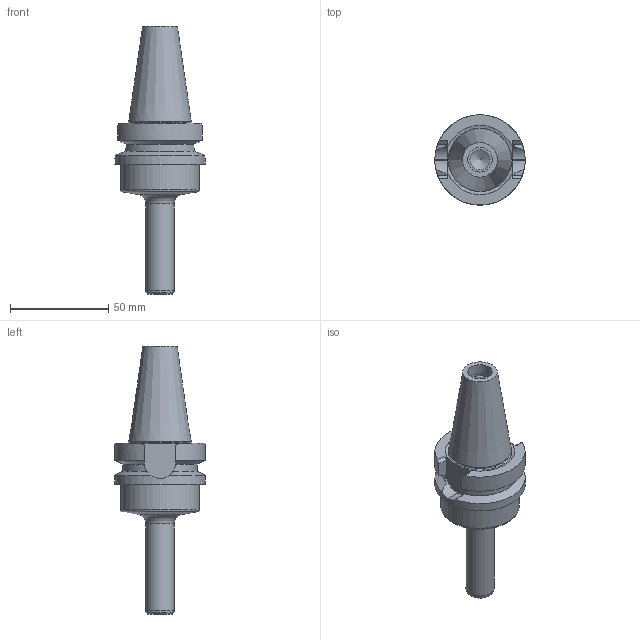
import cadquery as cq
import math

GAUGE_DIAMETER = 31.75
TAPER_LENGTH = 48.4
TAPER_RATE = 7 / 24
NECK_DIAMETER = 31.15
NECK_CHAMFER_HEIGHT = 0.4

FLANGE_DIAMETER = 45.98
FLANGE_TOP = -1.0
FLANGE_BOTTOM = -22.0
GROOVE_DIAMETER = 37.8
GROOVE_TOP = -9.7
GROOVE_BOTTOM = -17.5
GROOVE_SIDE_ANGLE = 26.5
RECESS_OUTER_DIAMETER = 35.2
RECESS_FILLET_RADIUS = 0.6
RECESS_DEPTH = 0.4

SLOT_WIDTH = 16.1
SLOT_CORNER_RADIUS = 8.03
SLOT_BOTTOM = -19.0
SLOT_FLOOR_X = 16.3
SLOT_CHAMFER_WIDTH = 1.63
SLOT_CHAMFER_HEIGHT = 1.3

COLLAR_DIAMETER = 40.0
COLLAR_BOTTOM = -36.0
COLLAR_EDGE_RADIUS = 1.0
COLLAR_FACE_ANGLE = 10.0
SHANK_DIAMETER = 14.5
SHANK_FILLET_RADIUS = 4.9
SHANK_END = -88.0
SHANK_END_DIAMETER = 13.1
SHANK_LEAD_DIAMETER = 14.2
SHANK_LEAD_TOP = -86.2
SHANK_LEAD_BOTTOM = -87.4

BORE_DIAMETER = 12.51
BORE_DEPTH = 5.5
UNDERCUT_DIAMETER = 12.91
UNDERCUT_BOTTOM_DEPTH = 7.0
DRILL_POINT_DIAMETER = 10.25
DRILL_POINT_ANGLE = 118.0


def polar(center, radius, degrees):
    """Point on a circle in the (radius, Z) half plane."""
    angle = math.radians(degrees)
    return (center[0] + radius * math.cos(angle), center[1] + radius * math.sin(angle))


def revolve_about_z(profile):
    """Close a profile drawn as (radius, Z) and turn it around the Z axis."""
    return profile.close().revolve(360, (0, 0, 0), (0, 1, 0))


def make_body():
    """Turned body: taper, neck, grooved flange, collar and shank."""
    taper_top_radius = (GAUGE_DIAMETER - TAPER_LENGTH * TAPER_RATE) / 2
    neck_radius = NECK_DIAMETER / 2
    recess_floor = FLANGE_TOP - RECESS_DEPTH
    flange_radius = FLANGE_DIAMETER / 2
    groove_radius = GROOVE_DIAMETER / 2
    groove_side_height = (flange_radius - groove_radius) * math.tan(math.radians(GROOVE_SIDE_ANGLE))

    neck_fillet_center = (neck_radius + RECESS_FILLET_RADIUS, recess_floor + RECESS_FILLET_RADIUS)
    neck_fillet_middle = polar(neck_fillet_center, RECESS_FILLET_RADIUS, 225)
    neck_fillet_end = polar(neck_fillet_center, RECESS_FILLET_RADIUS, 270)

    collar_radius = COLLAR_DIAMETER / 2
    edge_center = (collar_radius - COLLAR_EDGE_RADIUS, COLLAR_BOTTOM + COLLAR_EDGE_RADIUS)
    edge_middle = polar(edge_center, COLLAR_EDGE_RADIUS, -45)
    edge_end = polar(edge_center, COLLAR_EDGE_RADIUS, -90)

    shank_radius = SHANK_DIAMETER / 2
    face_angle = math.radians(COLLAR_FACE_ANGLE)
    fillet_center_x = shank_radius + SHANK_FILLET_RADIUS
    fillet_start_x = fillet_center_x - SHANK_FILLET_RADIUS * math.sin(face_angle)
    fillet_start_z = COLLAR_BOTTOM - (edge_end[0] - fillet_start_x) * math.tan(face_angle)
    shank_top = fillet_start_z - SHANK_FILLET_RADIUS * math.cos(face_angle)
    fillet_center = (fillet_center_x, shank_top)
    fillet_middle = polar(fillet_center, SHANK_FILLET_RADIUS, (270 + COLLAR_FACE_ANGLE) / 2)

    profile = (
        cq.Workplane("XZ")
        .moveTo(0, TAPER_LENGTH)
        .lineTo(taper_top_radius, TAPER_LENGTH)
        .lineTo(GAUGE_DIAMETER / 2, 0)
        .lineTo(neck_radius, -NECK_CHAMFER_HEIGHT)
        .lineTo(neck_radius, neck_fillet_center[1])
        .threePointArc(neck_fillet_middle, neck_fillet_end)
        .lineTo(RECESS_OUTER_DIAMETER / 2, FLANGE_TOP)
        .lineTo(flange_radius, FLANGE_TOP)
        .lineTo(flange_radius, GROOVE_TOP)
        .lineTo(groove_radius, GROOVE_TOP - groove_side_height)
        .lineTo(groove_radius, GROOVE_BOTTOM + groove_side_height)
        .lineTo(flange_radius, GROOVE_BOTTOM)
        .lineTo(flange_radius, FLANGE_BOTTOM)
        .lineTo(collar_radius, FLANGE_BOTTOM)
        .lineTo(collar_radius, edge_center[1])
        .threePointArc(edge_middle, edge_end)
        .lineTo(fillet_start_x, fillet_start_z)
        .threePointArc(fillet_middle, (shank_radius, shank_top))
        .lineTo(shank_radius, SHANK_LEAD_TOP)
        .lineTo(SHANK_LEAD_DIAMETER / 2, SHANK_LEAD_BOTTOM)
        .lineTo(SHANK_END_DIAMETER / 2, SHANK_END)
        .lineTo(0, SHANK_END)
    )
    return revolve_about_z(profile)


def make_bore():
    """Blind bore with an undercut at its end and a conical drill point in its floor."""
    bore_radius = BORE_DIAMETER / 2
    undercut_radius = UNDERCUT_DIAMETER / 2
    point_radius = DRILL_POINT_DIAMETER / 2
    undercut_top = TAPER_LENGTH - BORE_DEPTH
    floor = TAPER_LENGTH - UNDERCUT_BOTTOM_DEPTH
    point_depth = point_radius / math.tan(math.radians(DRILL_POINT_ANGLE / 2))
    profile = (
        cq.Workplane("XZ")
        .moveTo(0, TAPER_LENGTH)
        .lineTo(bore_radius, TAPER_LENGTH)
        .lineTo(bore_radius, undercut_top)
        .lineTo(undercut_radius, undercut_top)
        .lineTo(undercut_radius, floor)
        .lineTo(point_radius, floor)
        .lineTo(0, floor - point_depth)
    )
    return revolve_about_z(profile)


def make_drive_slot(side):
    """Round-bottomed slot cutter for side +1 (+X) or -1 (-X), with chamfered mouth."""
    half_width = SLOT_WIDTH / 2
    mouth_half_width = half_width + SLOT_CHAMFER_WIDTH
    chamfer_bottom = FLANGE_TOP - SLOT_CHAMFER_HEIGHT
    floor_half_width = half_width - SLOT_CORNER_RADIUS
    arc_center_z = SLOT_BOTTOM + SLOT_CORNER_RADIUS
    left_middle = polar((-floor_half_width, arc_center_z), SLOT_CORNER_RADIUS, 225)
    right_middle = polar((floor_half_width, arc_center_z), SLOT_CORNER_RADIUS, 315)
    return (
        cq.Workplane("YZ", origin=(side * SLOT_FLOOR_X, 0, 0))
        .moveTo(-mouth_half_width, FLANGE_TOP)
        .lineTo(-half_width, chamfer_bottom)
        .lineTo(-half_width, arc_center_z)
        .threePointArc(left_middle, (-floor_half_width, SLOT_BOTTOM))
        .lineTo(floor_half_width, SLOT_BOTTOM)
        .threePointArc(right_middle, (half_width, arc_center_z))
        .lineTo(half_width, chamfer_bottom)
        .lineTo(mouth_half_width, FLANGE_TOP)
        .close()
        .extrude(side * FLANGE_DIAMETER / 2)
    )


result = make_body().cut(make_bore())
for slot_side in (1, -1):
    result = result.cut(make_drive_slot(slot_side))